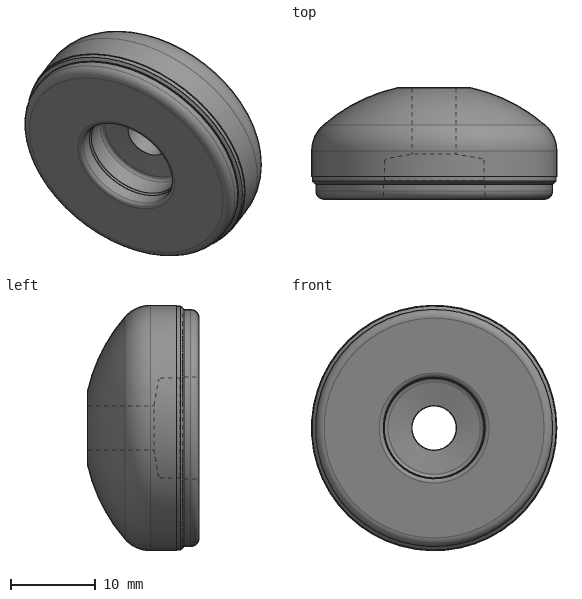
import cadquery as cq
import math


outer_radius = 14.5
total_depth = 13.2
through_hole_radius = 2.6

ring_radius = 14.0
ring_depth = 1.95
ring_outer_fillet = 1.02
ring_bore_radius = 6.0
ring_bore_fillet = 0.5

lip_depth = 1.77
rim_radius = 14.4
rim_chamfer = rim_radius - ring_radius
rim_step_depth = 2.7

shoulder_depth = 5.75
shoulder_radius = 4.0
dome_radius = 20.0

bore_radius = 5.9
bore_chamfer_depth = 0.3
bore_wall_end = 4.4
bore_corner_radius = 0.44
floor_rise = 0.5


def polar(center, radius, angle):
    """Point on a circle, with the angle measured from the radial direction."""
    return (center[0] + radius * math.cos(angle), center[1] + radius * math.sin(angle))


def revolve_about_y(profile):
    """Revolve a closed (radius, depth) profile into a solid of revolution."""
    return profile.close().revolve(360, (0, 0, 0), (0, 1, 0))


def make_ring():
    """Flat ring with a rounded outer edge and a rounded bore mouth."""
    outer_center = (ring_radius - ring_outer_fillet, ring_outer_fillet)
    bore_center = (ring_bore_radius + ring_bore_fillet, ring_bore_fillet)
    profile = (
        cq.Workplane("XY")
        .moveTo(bore_center[0], 0)
        .lineTo(outer_center[0], 0)
        .threePointArc(
            polar(outer_center, ring_outer_fillet, -math.pi / 4),
            (ring_radius, ring_outer_fillet),
        )
        .lineTo(ring_radius, ring_depth)
        .lineTo(ring_bore_radius, ring_depth)
        .lineTo(ring_bore_radius, ring_bore_fillet)
        .threePointArc(
            polar(bore_center, ring_bore_fillet, -3 * math.pi / 4),
            (bore_center[0], 0),
        )
    )
    return revolve_about_y(profile)


def make_housing():
    """Domed housing that seats the ring in a shallow recess, with a stepped central hole."""
    shoulder_center = (outer_radius - shoulder_radius, shoulder_depth)
    center_spacing = dome_radius - shoulder_radius
    tangent_angle = math.acos(shoulder_center[0] / center_spacing)
    dome_center = (0, shoulder_depth - center_spacing * math.sin(tangent_angle))

    flat_angle = math.asin((total_depth - dome_center[1]) / dome_radius)
    flat_radius = dome_radius * math.cos(flat_angle)

    corner_center = (bore_radius - bore_corner_radius, bore_wall_end)
    floor_edge_depth = bore_wall_end + bore_corner_radius

    profile = (
        cq.Workplane("XY")
        .moveTo(ring_bore_radius, ring_depth)
        .lineTo(ring_radius, ring_depth)
        .lineTo(ring_radius, lip_depth)
        .lineTo(rim_radius, lip_depth + rim_chamfer)
        .lineTo(rim_radius, rim_step_depth)
        .lineTo(outer_radius, rim_step_depth)
        .lineTo(outer_radius, shoulder_depth)
        .threePointArc(
            polar(shoulder_center, shoulder_radius, tangent_angle / 2),
            polar(shoulder_center, shoulder_radius, tangent_angle),
        )
        .threePointArc(
            polar(dome_center, dome_radius, (tangent_angle + flat_angle) / 2),
            (flat_radius, total_depth),
        )
        .lineTo(through_hole_radius, total_depth)
        .lineTo(through_hole_radius, floor_edge_depth + floor_rise)
        .lineTo(corner_center[0], floor_edge_depth)
        .threePointArc(
            polar(corner_center, bore_corner_radius, math.pi / 4),
            (bore_radius, bore_wall_end),
        )
        .lineTo(bore_radius, ring_depth + bore_chamfer_depth)
    )
    return revolve_about_y(profile)


ring = make_ring()
housing = make_housing()

result = cq.Compound.makeCompound([ring.val(), housing.val()])